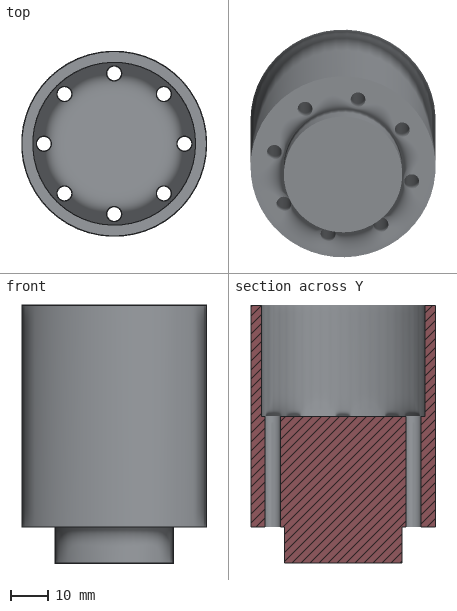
import cadquery as cq

total_height = 69.85
body_diameter = 50.0
body_height = 60.0
boss_diameter = 32.0
boss_height = total_height - body_height

cup_diameter = 44.0
cup_depth = 30.05

hole_count = 8
hole_diameter = 4.0
hole_circle_diameter = 38.0

boss = cq.Workplane("XY").circle(boss_diameter / 2).extrude(boss_height)
body = (
    cq.Workplane("XY")
    .workplane(offset=boss_height)
    .circle(body_diameter / 2)
    .extrude(body_height)
)

cup = (
    cq.Workplane("XY")
    .workplane(offset=total_height - cup_depth)
    .circle(cup_diameter / 2)
    .extrude(cup_depth)
)

holes = (
    cq.Workplane("XY")
    .workplane(offset=boss_height)
    .polarArray(hole_circle_diameter / 2, 0, 360, hole_count)
    .circle(hole_diameter / 2)
    .extrude(body_height)
)

result = boss.union(body).cut(cup).cut(holes)